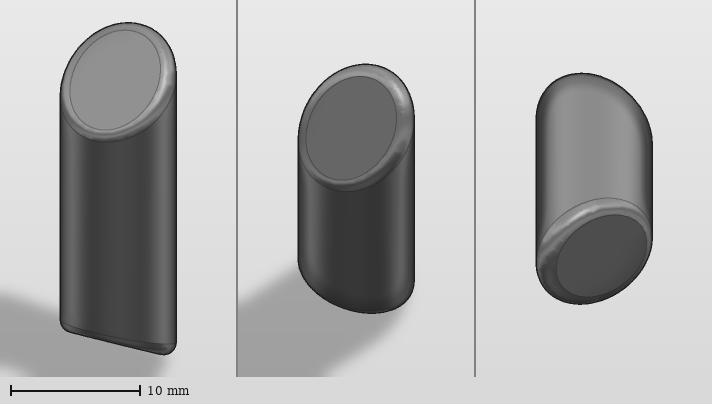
import cadquery as cq
import math

diameter = 9.0
radius = diameter / 2
end_angle = 35.0
axis_length = 25.0
edge_fillet = 1.0

half_rise = radius * math.tan(math.radians(end_angle))
half_axis = axis_length / 2
long_side = half_axis + half_rise
short_side = half_axis - half_rise


def mitred_bar():
    """Round bar along Z, trimmed by a trapezoid that is longest at +Y."""
    bar = cq.Workplane("XY").circle(radius).extrude(long_side, both=True)
    trapezoid = (
        cq.Workplane("YZ")
        .moveTo(-radius, -short_side)
        .lineTo(radius, -long_side)
        .lineTo(radius, long_side)
        .lineTo(-radius, short_side)
        .close()
        .extrude(radius, both=True)
    )
    return bar.intersect(trapezoid)


def round_end_edges(bar):
    """Round the elliptical edge around each end face."""
    return bar.edges("%ELLIPSE").fillet(edge_fillet)


result = round_end_edges(mitred_bar())